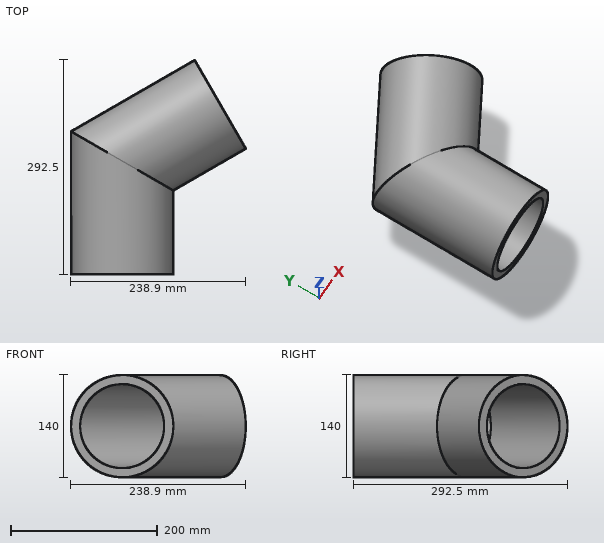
import cadquery as cq
import math

overall_length = 292.5
outer_diameter = 140.0
wall_thickness = 12.5
bend_angle = math.radians(60.0)

outer_radius = outer_diameter / 2
inner_radius = outer_radius - wall_thickness

rim_reach = outer_radius * math.sin(bend_angle)
leg_length = (overall_length - rim_reach) / (1 + math.cos(bend_angle))

mitre_normal = cq.Vector(math.sin(bend_angle / 2), math.cos(bend_angle / 2), 0)
mitre_plane = cq.Plane(origin=(0, 0, 0), xDir=(0, 0, 1), normal=mitre_normal)


def mitred_leg():
    """Pipe along Y from the open end at -Y, cut off at the mitre plane."""
    pipe = (
        cq.Workplane("XZ", origin=(0, -leg_length, 0))
        .circle(outer_radius)
        .circle(inner_radius)
        .extrude(-2 * leg_length)
    )
    beyond_mitre = (
        cq.Workplane(mitre_plane)
        .rect(2 * overall_length, 2 * overall_length)
        .extrude(overall_length)
    )
    return pipe.cut(beyond_mitre)


first_leg = mitred_leg()
second_leg = first_leg.mirror(mitre_normal, (0, 0, 0))
result = first_leg.union(second_leg)